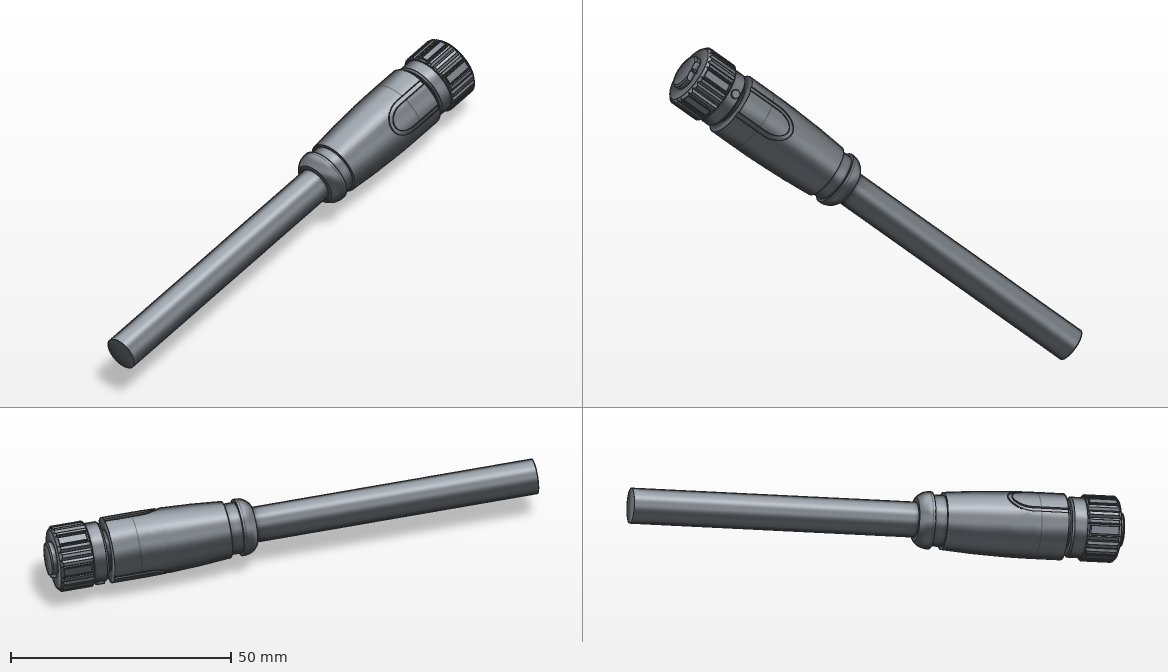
import cadquery as cq
import math

LENGTH = 114.1
FRONT_Y = LENGTH / 2
CABLE_END_Y = -LENGTH / 2

NUT_FRONT_Y = FRONT_Y - 1.4
NUT_REAR_Y = NUT_FRONT_Y - 7.9
RING_REAR_Y = NUT_REAR_Y - 3.4
GRIP_FRONT_Y = RING_REAR_Y - 1.1
GRIP_TAPER_Y = GRIP_FRONT_Y - 6.3
GRIP_REAR_Y = GRIP_FRONT_Y - 27.8
BEAD_FRONT_Y = GRIP_REAR_Y - 2.9
BEAD_REAR_Y = BEAD_FRONT_Y - 3.4

TIP_RADIUS = 4.1
NUT_RADIUS = 7.5
RING_RADIUS = 6.8
NECK_RADIUS = 4.8
GRIP_RADIUS = NUT_RADIUS
GRIP_REAR_RADIUS = 6.5
POST_RADIUS = 5.8
BEAD_RADIUS = GRIP_REAR_RADIUS
BEAD_REAR_RADIUS = 5.0
CABLE_RADIUS = 4.0

TIP_CHAMFER = 0.3
NUT_FRONT_CHAMFER = 0.7
NUT_REAR_CHAMFER = 0.3
RING_CHAMFER = 0.5
BEAD_LAND = 0.6

KNURL_COUNT = 24
KNURLS_PER_PAD = 4
KNURL_PITCH = 360 / KNURL_COUNT
PAD_START = 45
RIB_WIDTH = 0.7
PAD_WIDTH = 2.5
KNURL_DEPTH = 0.5
PAD_POCKET_WIDTH = 1.8
PAD_POCKET_DEPTH = 0.2
PAD_END_MARGIN = 0.7

KEY_ANGLE = 225
KEY_FLAT_RADIUS = 3.3
KEY_WIDTH = 0.5
MARK_DIAMETER = 2.0
MARK_HEIGHT = 0.5

PANEL_ANGLES = (45, 225)
PANEL_LENGTH = 13.7
PANEL_HALF_WIDTH = 4.0
PANEL_GROOVE_WIDTH = 1.0
PANEL_GROOVE_DEPTH = 0.3
PANEL_NOSE_LENGTH = 5.7


def turned_body():
    """Everything that is round about the Y axis, revolved from one half profile."""
    profile = (
        cq.Workplane("XY")
        .moveTo(0, FRONT_Y)
        .lineTo(TIP_RADIUS - TIP_CHAMFER, FRONT_Y)
        .lineTo(TIP_RADIUS, FRONT_Y - TIP_CHAMFER)
        .lineTo(TIP_RADIUS, NUT_FRONT_Y)
        .lineTo(NUT_RADIUS - NUT_FRONT_CHAMFER, NUT_FRONT_Y)
        .lineTo(NUT_RADIUS, NUT_FRONT_Y - NUT_FRONT_CHAMFER)
        .lineTo(NUT_RADIUS, NUT_REAR_Y + NUT_REAR_CHAMFER)
        .lineTo(NUT_RADIUS - NUT_REAR_CHAMFER, NUT_REAR_Y)
        .lineTo(RING_RADIUS, NUT_REAR_Y)
        .lineTo(RING_RADIUS, RING_REAR_Y + RING_CHAMFER)
        .lineTo(RING_RADIUS - RING_CHAMFER, RING_REAR_Y)
        .lineTo(NECK_RADIUS, RING_REAR_Y)
        .lineTo(NECK_RADIUS, GRIP_FRONT_Y)
        .lineTo(GRIP_RADIUS, GRIP_FRONT_Y)
        .lineTo(GRIP_RADIUS, GRIP_TAPER_Y)
        .tangentArcPoint((GRIP_REAR_RADIUS, GRIP_REAR_Y), relative=False)
        .lineTo(POST_RADIUS, GRIP_REAR_Y)
        .lineTo(POST_RADIUS, BEAD_FRONT_Y)
        .lineTo(BEAD_RADIUS, BEAD_FRONT_Y)
        .lineTo(BEAD_RADIUS, BEAD_FRONT_Y - BEAD_LAND)
        .tangentArcPoint((BEAD_REAR_RADIUS, BEAD_REAR_Y), relative=False)
        .lineTo(CABLE_RADIUS, BEAD_REAR_Y)
        .lineTo(CABLE_RADIUS, CABLE_END_Y)
        .lineTo(0, CABLE_END_Y)
        .close()
    )
    return profile.revolve(360, (0, 0, 0), (0, 1, 0))


def turn_to(shape, angle):
    """Turn a shape made on the +X side to an angle measured from +X toward +Z."""
    return shape.rotate((0, 0, 0), (0, 1, 0), -angle)


def side_box(inner, outer, rear, front, width):
    """Block on the +X side between two radii and two stations, centred on Z = 0."""
    return cq.Workplane("XY").box(
        outer - inner, front - rear, width, centered=(False, False, True)
    ).translate((inner, rear, 0))


def side_plane(radius, y):
    """Workplane facing +X: local x runs across the side, local y runs along +Y."""
    return cq.Workplane(cq.Plane(origin=(radius, y, 0), xDir=(0, 0, -1), normal=(1, 0, 0)))


def v_groove(width):
    """V-shaped cutter on the +X side, as wide as given at the nut surface."""
    slope = width / 2 / KNURL_DEPTH
    root_radius = NUT_RADIUS - KNURL_DEPTH
    outer_radius = NUT_RADIUS + KNURL_DEPTH
    mouth = slope * (outer_radius - root_radius)
    return (
        cq.Workplane("XZ", origin=(0, NUT_FRONT_Y, 0))
        .polyline([(root_radius, 0), (outer_radius, mouth), (outer_radius, -mouth)])
        .close()
        .extrude(NUT_FRONT_Y - NUT_REAR_Y)
    )


def is_pad(index):
    return index % KNURLS_PER_PAD == 0


def knurl_half_angle(index):
    width = PAD_WIDTH if is_pad(index) else RIB_WIDTH
    return math.degrees(math.asin(width / 2 / NUT_RADIUS))


def knurl_cutters():
    """Grooves between neighbouring knurls and a shallow pocket in each pad."""
    cutters = cq.Workplane("XY")
    for index in range(KNURL_COUNT):
        angle = PAD_START + index * KNURL_PITCH
        start = angle + knurl_half_angle(index)
        end = angle + KNURL_PITCH - knurl_half_angle(index + 1)
        groove_width = 2 * NUT_RADIUS * math.sin(math.radians(end - start) / 2)
        cutters = cutters.add(turn_to(v_groove(groove_width), (start + end) / 2))
        if is_pad(index):
            pocket = side_box(
                NUT_RADIUS - PAD_POCKET_DEPTH,
                NUT_RADIUS + PAD_POCKET_DEPTH,
                NUT_REAR_Y + PAD_END_MARGIN,
                NUT_FRONT_Y - PAD_END_MARGIN,
                PAD_POCKET_WIDTH,
            )
            cutters = cutters.add(turn_to(pocket, angle))
    return cutters.combine()


def key_cutter():
    """Flat on the plug tip, leaving a narrow key standing along its middle."""
    flat = side_box(KEY_FLAT_RADIUS, TIP_RADIUS, NUT_FRONT_Y, FRONT_Y, 2 * TIP_RADIUS)
    key = side_box(KEY_FLAT_RADIUS, TIP_RADIUS, NUT_FRONT_Y, FRONT_Y, KEY_WIDTH)
    return turn_to(flat.cut(key), KEY_ANGLE)


def position_mark():
    """Raised round dot on the ring behind the nut."""
    ring_middle = (NUT_REAR_Y + RING_REAR_Y) / 2
    dot = side_plane(0, ring_middle).circle(MARK_DIAMETER / 2).extrude(RING_RADIUS + MARK_HEIGHT)
    return turn_to(dot, KEY_ANGLE)


def tongue(inset):
    """Tongue prism on the +X side, square at the grip front and rounded at the rear."""
    half_width = PANEL_HALF_WIDTH - inset
    straight = PANEL_LENGTH - PANEL_NOSE_LENGTH
    tip = PANEL_LENGTH - inset
    return (
        side_plane(0, GRIP_FRONT_Y)
        .moveTo(-half_width, 0)
        .lineTo(-half_width, -straight)
        .ellipseArc(half_width, tip - straight, 180, 360, startAtCurrent=True)
        .lineTo(half_width, 0)
        .close()
        .extrude(GRIP_RADIUS + PANEL_GROOVE_DEPTH)
    )


def panel_groove():
    """Tongue outline band, trimmed to lie just under the grip surface."""
    band = tongue(0).cut(tongue(PANEL_GROOVE_WIDTH))
    core = (
        cq.Workplane("XZ", origin=(0, GRIP_FRONT_Y, 0))
        .circle(GRIP_RADIUS - PANEL_GROOVE_DEPTH)
        .extrude(PANEL_LENGTH)
    )
    return band.cut(core)


result = turned_body().cut(knurl_cutters()).cut(key_cutter()).union(position_mark())
for panel_angle in PANEL_ANGLES:
    result = result.cut(turn_to(panel_groove(), panel_angle))